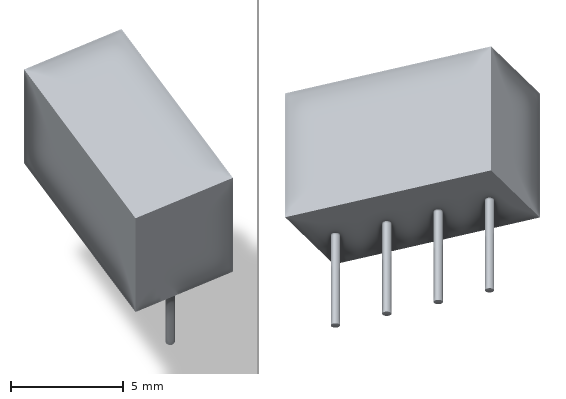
import cadquery as cq

housing_length = 10.16
housing_width = 4.95
total_height = 10.79

pin_count = 4
pin_pitch = 2.54
pin_diameter = 0.41
pin_length = 4.55

housing_height = total_height - pin_length


def make_housing():
    """Plain block centred in X and Y, with its underside at Z = 0."""
    return cq.Workplane("XY").box(
        housing_length, housing_width, housing_height, centered=(True, True, False)
    )


def make_pin(x):
    """Round pin hanging from the underside of the housing at the given X."""
    return cq.Workplane("XY").center(x, 0).circle(pin_diameter / 2).extrude(-pin_length)


first_pin_x = -pin_pitch * (pin_count - 1) / 2

housing = make_housing()
pins = [make_pin(first_pin_x + i * pin_pitch) for i in range(pin_count)]

result = cq.Compound.makeCompound([housing.val(), *[pin.val() for pin in pins]])